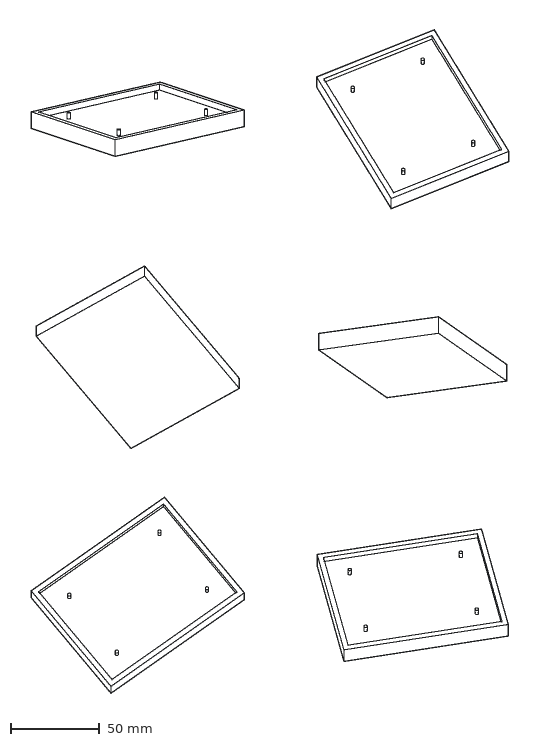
import cadquery as cq

width = 74.0
length = 94.6
height = 9.8
wall = 3.0
pocket_depth = 3.5

pin_diameter = 1.9
pin_height = 3.5
pin_spacing_x = 44.0
pin_spacing_y = 63.95
pin_pattern_offset_y = -0.3

floor_z = height - pocket_depth


def make_tray():
    """Rectangular block with an open pocket surrounded by a uniform rim."""
    block = cq.Workplane("XY").box(width, length, height, centered=(True, True, False))
    pocket = (
        cq.Workplane("XY", origin=(0, 0, floor_z))
        .rect(width - 2 * wall, length - 2 * wall)
        .extrude(pocket_depth)
    )
    return block.cut(pocket)


def make_pins():
    """Four round pins at the corners of a rectangle."""
    return (
        cq.Workplane("XY", origin=(0, pin_pattern_offset_y, floor_z))
        .rect(pin_spacing_x, pin_spacing_y, forConstruction=True)
        .vertices()
        .circle(pin_diameter / 2)
        .extrude(pin_height)
    )


result = make_tray().union(make_pins())